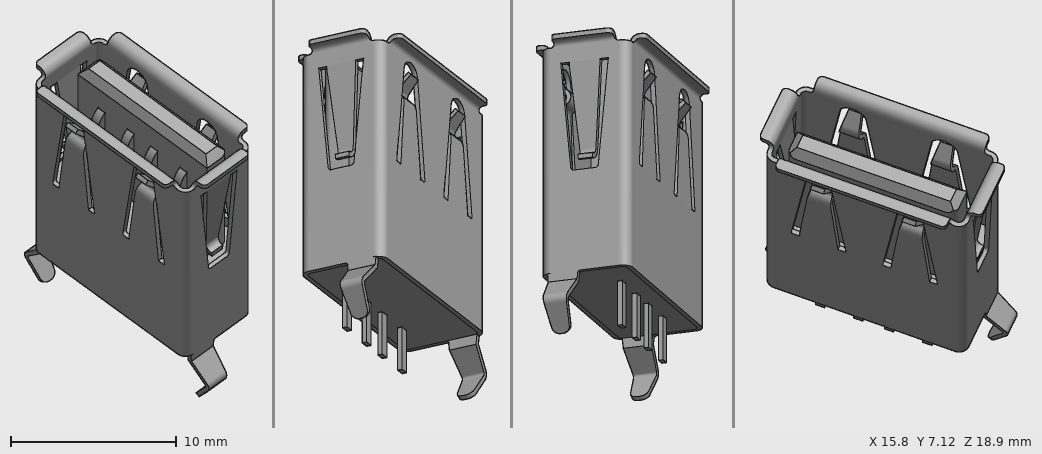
import cadquery as cq
import math

SHELL_X = 13.14
SHELL_Y = 5.72
SHELL_HEIGHT = 14.37
SHEET = 0.3
CORNER_RADIUS = 0.65
INNER_X = SHELL_X - 2 * SHEET
INNER_Y = SHELL_Y - 2 * SHEET
INNER_CORNER_RADIUS = CORNER_RADIUS - SHEET

LIP_REACH = 0.7
LIP_BEND_RADIUS = 0.3
LIP_ROOT_FILLET = 0.27
LIP_TIP_FILLET = 0.3
LONG_LIP_WIDTH = 11.17
SHORT_LIP_WIDTH = 3.88
LIP_TOP = SHELL_HEIGHT + LIP_BEND_RADIUS + SHEET

LONG_SPRING_X = 3.0
LONG_SPRING_ROOT = 6.95
LONG_SPRING_ROOT_WIDTH = 2.54
LONG_SPRING_KNEE_WIDTH = 1.48
LONG_SPRING_TIP_WIDTH = 0.8
LONG_SPRING_KNEE = (-0.05, 11.7)
LONG_SPRING_VALLEY = (-0.74, 12.1)
LONG_SPRING_TIP = (0.27, 13.18)
LONG_SPRING_TOP = LONG_SPRING_TIP[1] + SHEET
LONG_SPRING_KNEE_RADIUS = 0.35
LONG_SPRING_VALLEY_RADIUS = 0.28
LONG_WINDOW_ROOT_WIDTH = 3.6
LONG_WINDOW_TOP = 14.16
LONG_WINDOW_TOP_RADIUS = 0.87
LONG_WINDOW_ROOT_FILLET = 0.11

SHORT_SPRING_ROOT = 13.33
SHORT_SPRING_ROOT_WIDTH = 2.0
SHORT_SPRING_TIP_WIDTH = 0.9
SHORT_SPRING_HEEL = (-0.62, 7.45)
SHORT_SPRING_TIP = (-0.15, 7.45)
SHORT_SPRING_BOTTOM = SHORT_SPRING_HEEL[1] - SHEET
SHORT_SPRING_HEEL_RADIUS = 0.38
SHORT_WINDOW_ROOT_WIDTH = 3.07
SHORT_WINDOW_END_WIDTH = 1.75
SHORT_WINDOW_BOTTOM = 6.42
SHORT_WINDOW_FILLET = 0.23

LEG_Y = -1.42
LEG_ROOT_WIDTH = 1.95
LEG_TIP_WIDTH = 1.06
LEG_TIP_FILLET = 0.5
OVERALL_HEIGHT = 18.93
LEG_BOTTOM = LIP_TOP - OVERALL_HEIGHT
LEG_KNEE = (0.0, -0.53)
LEG_ELBOW = (1.48, -2.03)
LEG_LOWER_ANGLE = 35.5
LEG_ELBOW_RADIUS = 0.17
LEG_ROOT_FILLET = 0.19

BASE_HEIGHT = 6.2
TONGUE_X = 11.05
TONGUE_FRONT = 0.02
TONGUE_BACK = 1.87
TONGUE_SHOULDER = 13.84
TONGUE_TOP = 14.4
TONGUE_SIDE_BEVEL = 0.51
TONGUE_FRONT_BEVEL = 0.42
TONGUE_BACK_BEVEL = 0.5
TONGUE_BACK_FILLET = 0.6

PIN_POSITIONS = [-3.5, -1.0, 1.0, 3.5]
PIN_WIDTH = 0.6
PIN_THICKNESS = 0.3
PIN_LEG_Y = 1.25
PIN_LEG_LENGTH = 2.8
PIN_JOG_TOP = 3.03
PIN_BUMP_TOP = 12.2
PIN_BUMP_LENGTH = 2.27
PIN_BUMP_HEIGHT = 0.6
CONTACT_COVER = 0.3


def offset_path(path, distance):
    """Shift a polyline to the left of its direction, with mitred corners."""
    angles = [math.atan2(b[1] - a[1], b[0] - a[0]) for a, b in zip(path, path[1:])]
    before = angles[:1] + angles
    after = angles + angles[-1:]
    shifted = []
    for (u, v), angle_in, angle_out in zip(path, before, after):
        middle = (angle_in + angle_out) / 2
        reach = distance / math.cos((angle_out - angle_in) / 2)
        shifted.append((u - reach * math.sin(middle), v + reach * math.cos(middle)))
    return shifted


def bent_strip(outer_path, inward, bends, width):
    """Sheet strip centred on Y = 0, facing +X.

    outer_path runs along the outer face as (outward, Z) points. inward is +1 if the sheet lies
    left of the path and -1 if right. bends maps a corner's index to its inside bend radius.
    """
    inner_path = offset_path(outer_path, inward * SHEET)
    outline = outer_path + inner_path[::-1]
    strip = cq.Workplane("XZ").polyline(outline).close().extrude(width / 2, both=True)
    for index, radius in bends.items():
        before, corner, after = outer_path[index - 1:index + 2]
        run_in = (corner[0] - before[0], corner[1] - before[1])
        run_out = (after[0] - corner[0], after[1] - corner[1])
        turn = run_in[0] * run_out[1] - run_in[1] * run_out[0]
        sheet_inside_turn = turn * inward > 0
        outer_radius = radius + SHEET if sheet_inside_turn else radius
        inner_radius = radius if sheet_inside_turn else radius + SHEET
        for (u, v), face_radius in ((corner, outer_radius), (inner_path[index], inner_radius)):
            nearest = cq.selectors.NearestToPointSelector((u, 0, v))
            strip = strip.edges("|Y").edges(nearest).fillet(face_radius)
    return strip


def plate(outline, depth):
    """Symmetric prism along X from (Y, Z) points."""
    return cq.Workplane("YZ").polyline(outline).close().extrude(depth, both=True)


def mirrored_outline(right_side):
    """Close an outline given by its +Y points, in order, with their -Y mirror."""
    return right_side + [(-y, z) for y, z in reversed(right_side)]


def onto_long_walls(feature, x):
    """Copies of a +X-facing feature on the front and back walls at a given X."""
    back = feature.translate((SHELL_Y / 2, 0, 0)).rotate((0, 0, 0), (0, 0, 1), 90).translate((x, 0, 0))
    return [back, back.mirror("XZ")]


def onto_short_walls(feature):
    """Copies of a +X-facing feature on the right and left walls."""
    right = feature.translate((SHELL_X / 2, 0, 0))
    return [right, right.mirror("YZ")]


def make_lip(width):
    half = width / 2
    overlap = SHELL_HEIGHT - SHEET
    shoulder = LIP_TOP - SHEET
    path = [(0, overlap), (0, shoulder), (LIP_REACH, shoulder)]
    strip = bent_strip(path, 1, {1: LIP_BEND_RADIUS}, width + 2 * LIP_ROOT_FILLET)
    root = half + LIP_ROOT_FILLET
    dip = LIP_ROOT_FILLET * (1 - math.sqrt(0.5))
    outline = (
        cq.Workplane("YZ")
        .moveTo(-root, overlap)
        .lineTo(root, overlap)
        .lineTo(root, SHELL_HEIGHT)
        .threePointArc((half + dip, SHELL_HEIGHT + dip), (half, SHELL_HEIGHT + LIP_ROOT_FILLET))
        .lineTo(half, LIP_TOP)
        .lineTo(-half, LIP_TOP)
        .lineTo(-half, SHELL_HEIGHT + LIP_ROOT_FILLET)
        .threePointArc((-half - dip, SHELL_HEIGHT + dip), (-root, SHELL_HEIGHT))
        .close()
        .extrude(2 * LIP_REACH, both=True)
    )
    return strip.intersect(outline).edges("|Z").edges(">X").fillet(LIP_TIP_FILLET)


def make_long_window():
    half = LONG_WINDOW_ROOT_WIDTH / 2
    centre = LONG_WINDOW_TOP - LONG_WINDOW_TOP_RADIUS
    height = centre - LONG_SPRING_ROOT
    span = math.hypot(half, height)
    lean = math.acos(LONG_WINDOW_TOP_RADIUS / span) - math.atan2(height, half)
    tangent_y = LONG_WINDOW_TOP_RADIUS * math.cos(lean)
    tangent_z = centre + LONG_WINDOW_TOP_RADIUS * math.sin(lean)
    return (
        cq.Workplane("YZ")
        .moveTo(-half, LONG_SPRING_ROOT)
        .lineTo(half, LONG_SPRING_ROOT)
        .lineTo(tangent_y, tangent_z)
        .threePointArc((0, LONG_WINDOW_TOP), (-tangent_y, tangent_z))
        .close()
        .extrude(2 * SHEET, both=True)
        .edges("|X")
        .edges("<Z")
        .fillet(LONG_WINDOW_ROOT_FILLET)
    )


def make_long_spring():
    anchor = (0, LONG_SPRING_ROOT - SHEET)
    root = (0, LONG_SPRING_ROOT)
    path = [anchor, root, LONG_SPRING_KNEE, LONG_SPRING_VALLEY, LONG_SPRING_TIP]
    bends = {2: LONG_SPRING_KNEE_RADIUS, 3: LONG_SPRING_VALLEY_RADIUS}
    strip = bent_strip(path, 1, bends, LONG_SPRING_ROOT_WIDTH)
    taper = mirrored_outline([
        (LONG_SPRING_ROOT_WIDTH / 2, anchor[1]),
        (LONG_SPRING_ROOT_WIDTH / 2, LONG_SPRING_ROOT),
        (LONG_SPRING_KNEE_WIDTH / 2, LONG_SPRING_KNEE[1]),
        (LONG_SPRING_TIP_WIDTH / 2, LONG_SPRING_TOP),
    ])
    return strip.intersect(plate(taper, SHELL_Y))


def make_short_window():
    outline = mirrored_outline([
        (SHORT_WINDOW_END_WIDTH / 2, SHORT_WINDOW_BOTTOM),
        (SHORT_WINDOW_ROOT_WIDTH / 2, SHORT_SPRING_ROOT),
    ])
    window = plate(outline, 2 * SHEET)
    return window.edges("|X").edges("<Z").fillet(SHORT_WINDOW_FILLET)


def make_short_spring():
    anchor = (0, SHORT_SPRING_ROOT + SHEET)
    root = (0, SHORT_SPRING_ROOT)
    path = [anchor, root, SHORT_SPRING_HEEL, SHORT_SPRING_TIP]
    strip = bent_strip(path, -1, {2: SHORT_SPRING_HEEL_RADIUS}, SHORT_SPRING_ROOT_WIDTH)
    taper = mirrored_outline([
        (SHORT_SPRING_TIP_WIDTH / 2, SHORT_SPRING_BOTTOM),
        (SHORT_SPRING_ROOT_WIDTH / 2, SHORT_SPRING_ROOT),
        (SHORT_SPRING_ROOT_WIDTH / 2, anchor[1]),
    ])
    return strip.intersect(plate(taper, SHELL_Y))


def make_leg():
    lower_run = LEG_ELBOW[1] - LEG_BOTTOM
    tip = (LEG_ELBOW[0] - lower_run * math.tan(math.radians(LEG_LOWER_ANGLE)), LEG_BOTTOM)
    path = [(0, 0), LEG_KNEE, LEG_ELBOW, tip]
    strip = bent_strip(path, -1, {2: LEG_ELBOW_RADIUS}, LEG_ROOT_WIDTH + 2 * LEG_ROOT_FILLET)
    root_half = LEG_ROOT_WIDTH / 2
    tip_half = LEG_TIP_WIDTH / 2
    taper = (
        cq.Workplane("YZ")
        .moveTo(-root_half, 0)
        .lineTo(root_half + LEG_ROOT_FILLET, 0)
        .radiusArc((root_half, -LEG_ROOT_FILLET), -LEG_ROOT_FILLET)
        .lineTo(tip_half, LEG_BOTTOM)
        .lineTo(-tip_half, LEG_BOTTOM)
        .close()
        .extrude(SHELL_X, both=True)
    )
    leg = strip.intersect(taper)
    tip_face = leg.faces(cq.selectors.NearestToPointSelector((tip[0], 0, tip[1])))
    return tip_face.edges(">Y or <Y").fillet(LEG_TIP_FILLET).translate((0, LEG_Y, 0))


def make_cavity(height):
    """Space inside the shell, from its lower edge up."""
    cavity = cq.Workplane("XY").rect(INNER_X, INNER_Y).extrude(height)
    return cavity.edges("|Z").fillet(INNER_CORNER_RADIUS)


def make_shell():
    outside = cq.Workplane("XY").rect(SHELL_X, SHELL_Y).extrude(SHELL_HEIGHT)
    shell = outside.edges("|Z").fillet(CORNER_RADIUS).cut(make_cavity(SHELL_HEIGHT))
    lips = onto_long_walls(make_lip(LONG_LIP_WIDTH), 0) + onto_short_walls(make_lip(SHORT_LIP_WIDTH))
    for lip in lips:
        shell = shell.union(lip)
    windows = onto_short_walls(make_short_window())
    springs = onto_short_walls(make_short_spring())
    for x in (-LONG_SPRING_X, LONG_SPRING_X):
        windows += onto_long_walls(make_long_window(), x)
        springs += onto_long_walls(make_long_spring(), x)
    for window, spring in zip(windows, springs):
        shell = shell.cut(window).union(spring)
    for leg in onto_short_walls(make_leg()):
        shell = shell.union(leg)
    return shell


def make_tongue():
    depth = TONGUE_BACK - TONGUE_FRONT
    middle = (TONGUE_BACK + TONGUE_FRONT) / 2
    shank = cq.Workplane("XY").center(0, middle).rect(TONGUE_X, depth).extrude(TONGUE_SHOULDER)
    crown = (
        cq.Workplane("XY", origin=(0, middle, TONGUE_SHOULDER))
        .rect(TONGUE_X, depth)
        .workplane(offset=TONGUE_TOP - TONGUE_SHOULDER)
        .center(0, (TONGUE_FRONT_BEVEL - TONGUE_BACK_BEVEL) / 2)
        .rect(TONGUE_X - 2 * TONGUE_SIDE_BEVEL, depth - TONGUE_FRONT_BEVEL - TONGUE_BACK_BEVEL)
        .loft()
    )
    rounded = (
        cq.Workplane("XY")
        .center(0, middle)
        .rect(TONGUE_X, depth)
        .extrude(TONGUE_TOP)
        .edges("|Z")
        .edges(">Y")
        .fillet(TONGUE_BACK_FILLET)
    )
    return shank.union(crown).intersect(rounded)


def make_pin(x):
    """Straight solder leg, jog inside the base, and a contact with a domed face on the tongue."""
    leg_front = PIN_LEG_Y - PIN_THICKNESS / 2
    leg_back = PIN_LEG_Y + PIN_THICKNESS / 2
    contact_front = TONGUE_FRONT + CONTACT_COVER
    contact_back = contact_front + PIN_THICKNESS
    bump_bottom = PIN_BUMP_TOP - PIN_BUMP_LENGTH
    bump_middle = PIN_BUMP_TOP - PIN_BUMP_LENGTH / 2
    return (
        cq.Workplane("YZ", origin=(x, 0, 0))
        .moveTo(leg_back, -PIN_LEG_LENGTH)
        .lineTo(leg_back, PIN_JOG_TOP)
        .lineTo(contact_back, PIN_JOG_TOP)
        .lineTo(contact_back, PIN_BUMP_TOP)
        .lineTo(TONGUE_FRONT, PIN_BUMP_TOP)
        .threePointArc((TONGUE_FRONT - PIN_BUMP_HEIGHT, bump_middle), (TONGUE_FRONT, bump_bottom))
        .lineTo(contact_front, bump_bottom)
        .lineTo(contact_front, PIN_JOG_TOP - PIN_THICKNESS)
        .lineTo(leg_front, PIN_JOG_TOP - PIN_THICKNESS)
        .lineTo(leg_front, -PIN_LEG_LENGTH)
        .close()
        .extrude(PIN_WIDTH / 2, both=True)
    )


def make_insulator(pins):
    insulator = make_cavity(BASE_HEIGHT).union(make_tongue())
    for pin in pins:
        insulator = insulator.cut(pin)
    return insulator


shell = make_shell()
pins = [make_pin(x) for x in PIN_POSITIONS]
insulator = make_insulator(pins)

result = cq.Compound.makeCompound([shell.val(), insulator.val(), *[pin.val() for pin in pins]])